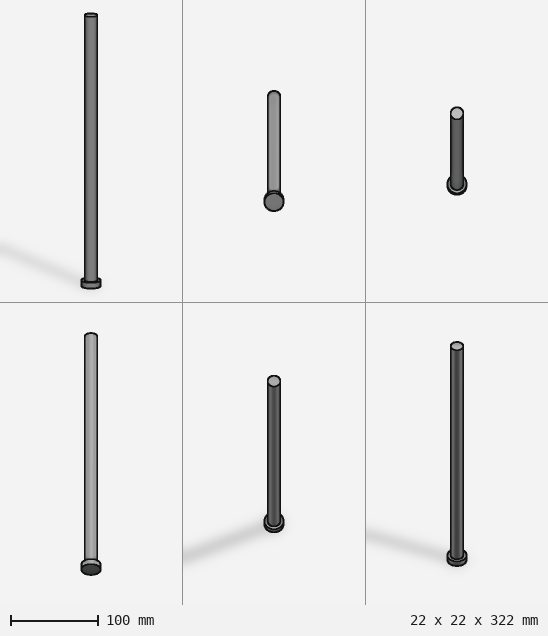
import cadquery as cq

total_length = 322.0
head_diameter = 22.0
head_height = 7.0
shank_diameter = 14.5
shank_length = total_length - head_height


def make_head():
    """Flat disc with its underside on the XY plane."""
    return cq.Workplane("XY").circle(head_diameter / 2).extrude(head_height)


def make_shank():
    """Cylinder rising from the top of the head."""
    return (
        cq.Workplane("XY")
        .workplane(offset=head_height)
        .circle(shank_diameter / 2)
        .extrude(shank_length)
    )


result = make_head().union(make_shank())